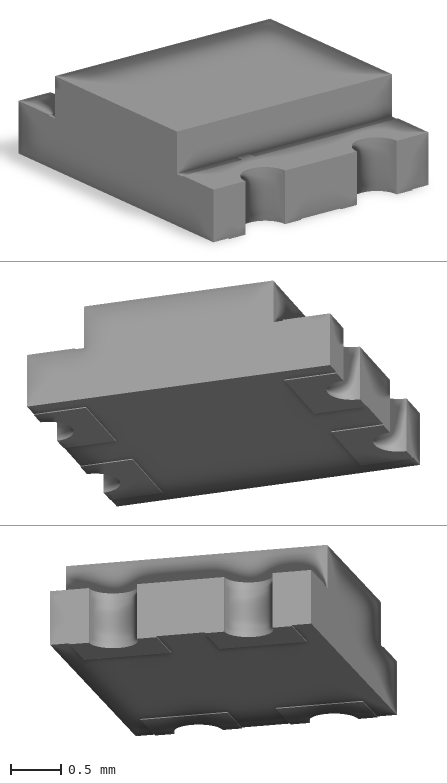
import cadquery as cq

BOARD_LENGTH = 3.2
BOARD_WIDTH = 2.7
BOARD_THICKNESS = 0.55
NOTCH_RADIUS = 0.25
NOTCH_OFFSET_Y = 0.7

COPPER_THICKNESS = 0.01
PAD_LENGTH = 0.55
PAD_WIDTH = 0.9
FOIL_LENGTH = 0.5

TAB_WIDTH_LEFT = 0.14
TAB_CENTER_Y_LEFT = -1.015
TAB_WIDTH_RIGHT = 0.16
TAB_CENTER_Y_RIGHT = -0.525

LENS_LENGTH = 2.0
LENS_HEIGHT = 0.45

BOARD_BOTTOM_Z = COPPER_THICKNESS
BOARD_TOP_Z = BOARD_BOTTOM_Z + BOARD_THICKNESS
BOARD_END_X = BOARD_LENGTH / 2
TAB_LENGTH = BOARD_END_X - FOIL_LENGTH - LENS_LENGTH / 2

SIDES = (-1, 1)


def make_block(length, width, height, center_x, center_y, bottom_z):
    """Upright block, centred in X and Y on the given point and standing on bottom_z."""
    block = cq.Workplane("XY").box(length, width, height, centered=(True, True, False))
    return block.translate((center_x, center_y, bottom_z))


def make_notch_cutters():
    """Four upright cylinders on the board ends, taller than the board and its copper."""
    centers = [(end * BOARD_END_X, side * NOTCH_OFFSET_Y) for end in SIDES for side in SIDES]
    cutter_height = BOARD_TOP_Z + COPPER_THICKNESS
    return cq.Workplane("XY").pushPoints(centers).circle(NOTCH_RADIUS).extrude(cutter_height)


def make_board():
    plate = make_block(BOARD_LENGTH, BOARD_WIDTH, BOARD_THICKNESS, 0, 0, BOARD_BOTTOM_Z)
    return plate.cut(notch_cutters)


def make_lens():
    return make_block(LENS_LENGTH, BOARD_WIDTH, LENS_HEIGHT, 0, 0, BOARD_TOP_Z)


def make_top_foil(end, tab_width, tab_center_y):
    """Copper strip on one board end (-1 or 1), with a tab reaching inward to the lens."""
    strip_x = end * (BOARD_END_X - FOIL_LENGTH / 2)
    strip = make_block(FOIL_LENGTH, BOARD_WIDTH, COPPER_THICKNESS, strip_x, 0, BOARD_TOP_Z)
    tab_x = end * (LENS_LENGTH + TAB_LENGTH) / 2
    tab = make_block(TAB_LENGTH, tab_width, COPPER_THICKNESS, tab_x, tab_center_y, BOARD_TOP_Z)
    return strip.union(tab).cut(notch_cutters)


def make_bottom_pad(end, side):
    """Solder pad around one notch, under the board."""
    pad_x = end * (BOARD_END_X - PAD_LENGTH / 2)
    pad_y = side * NOTCH_OFFSET_Y
    pad = make_block(PAD_LENGTH, PAD_WIDTH, COPPER_THICKNESS, pad_x, pad_y, 0)
    return pad.cut(notch_cutters)


notch_cutters = make_notch_cutters()
board = make_board()
lens = make_lens()
left_foil = make_top_foil(-1, TAB_WIDTH_LEFT, TAB_CENTER_Y_LEFT)
right_foil = make_top_foil(1, TAB_WIDTH_RIGHT, TAB_CENTER_Y_RIGHT)
bottom_pads = [make_bottom_pad(end, side) for end in SIDES for side in SIDES]

result = cq.Compound.makeCompound([
    board.val(),
    lens.val(),
    left_foil.val(),
    right_foil.val(),
    *[pad.val() for pad in bottom_pads],
])